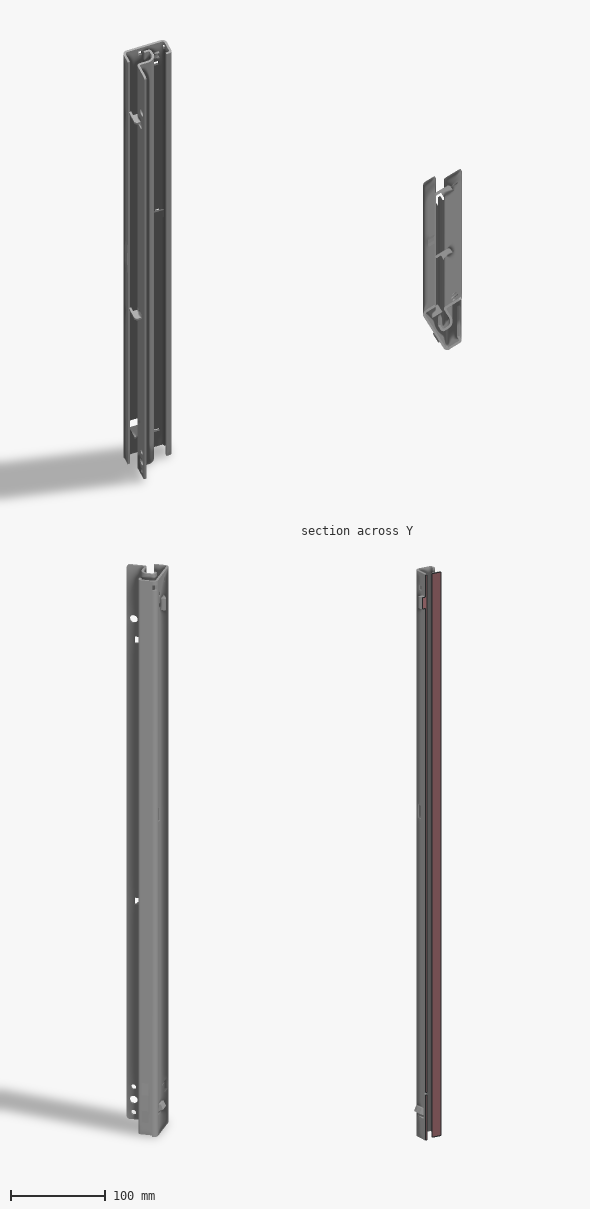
import cadquery as cq
import math

length = 630.0
z_top = length / 2
z_bottom = -length / 2
x_reach = 24.5
y_reach = 24.5
sheet = 2.5
through = 6.0

web_x = -19.5
lip_x = 1.0
lip_end_y = 17.5
floor_end_x = -3.0
bend_radius = 5.0
small_radius = 3.0
end_step = 2.0

wall_x = 5.0
wall_inner_x = wall_x - sheet
rail_top_y = 5.0
rail_radius = 9.5
rail_end_x = -12.0
rail_end_y = -3.0
flange_y_max = -14.5
flange_y_min = flange_y_max - sheet

ramp_height = 0.5
ramp_length = 45.0
ramp_crest = 17.5
ramp_x_min = -11.0
ramp_x_max = floor_end_x
floor_ramp_z = 8.0
roof_ramp_z = -277.0

web_inner_x = web_x + sheet
corner_notch_y = 21.0
small_hole_width = 4.0
small_hole_height = 5.5
small_hole_y = -4.7
small_hole_z = 307.5

clip_hole_y = 13.0
clip_hole_z = 297.5
clip_hole_width = 5.5
clip_hole_height = 9.0
clip_thickness = 2.0
clip_depth = 2.5

bridge_y_min = 9.0
bridge_y_max = 21.5
bridge_z = 48.0
bridge_window_height = 15.0
bridge_height = 11.5
bridge_inset = 2.0
bridge_leg = 4.0

upper_hook_z_min = 277.0
upper_hook_height = 13.0
upper_hook_y_min = -3.0
upper_hook_y_max = 9.0
upper_window_y_max = 16.5
upper_window_z_min = 281.0
upper_window_height = 5.5

lower_hook_y_min = 6.0
lower_hook_y_max = 17.5
lower_hook_z_max = -280.0
lower_hook_z_min = -288.0
lower_window_height = 4.0

stop_y_min = -16.5
stop_y_max = -7.0
stop_x_end = -4.5
stop_z_max = -275.0
stop_window_y_min = -17.5
stop_window_y_max = -5.5
stop_window_height = 13.0
relief_y_max = 4.5
relief_height = 2.0

flange_corner = 3.0
rail_z_min = z_bottom + end_step
hole_x = 17.0
large_hole_diameter = 9.0
small_hole_diameter = 5.5
upper_hole_z = 254.0
lower_hole_z = -291.0
hole_pitch = 14.5
window_x_max = 16.5
window_height = 7.5
tab_x_max = 14.5
tab_y_min = -23.0
tab_thickness = 2.5
foot_y_max = -21.0
upper_window_center = 230.5
lower_window_center = -65.5


def box(x_min, x_max, y_min, y_max, z_min, z_max):
    """Axis-aligned block between the given limits."""
    size = (x_max - x_min, y_max - y_min, z_max - z_min)
    return cq.Workplane("XY").box(*size, centered=False).translate((x_min, y_min, z_min))


def web_opening(y_min, y_max, z_min, z_max):
    """Cutter that passes through the web only."""
    return box(web_x - through, web_inner_x + sheet / 2, y_min, y_max, z_min, z_max)


def toward(start, end, distance):
    """Point at a distance from start on the line to end."""
    span = math.dist(start, end)
    return tuple(a + (b - a) * distance / span for a, b in zip(start, end))


def rounded_outline(corners):
    """Closed outline of square corners (x, y, radius), each rounded by its radius."""
    outline = None
    for i, (x, y, radius) in enumerate(corners):
        corner = (x, y)
        before = toward(corner, corners[i - 1][:2], radius)
        after = toward(corner, corners[(i + 1) % len(corners)][:2], radius)
        outline = outline.lineTo(*before) if outline else cq.Workplane("XY").moveTo(*before)
        if radius > 0:
            center = (before[0] + after[0] - x, before[1] + after[1] - y)
            outline = outline.threePointArc(toward(center, corner, radius), after)
    return outline.close()


def channel_section():
    """Bent strip of the channel: lip, roof, web and floor."""
    inner_bend = bend_radius - sheet
    inner_small = small_radius - sheet
    return rounded_outline([
        (lip_x, lip_end_y, 0),
        (lip_x, y_reach, small_radius),
        (web_x, y_reach, bend_radius),
        (web_x, -y_reach, bend_radius),
        (floor_end_x, -y_reach, 0),
        (floor_end_x, -y_reach + sheet, 0),
        (web_inner_x, -y_reach + sheet, inner_bend),
        (web_inner_x, y_reach - sheet, inner_bend),
        (lip_x - sheet, y_reach - sheet, inner_small),
        (lip_x - sheet, lip_end_y, 0),
    ])


def rail_section():
    """Bent strip of the rail: turned edge, crown, wall and flange."""
    inner_small = small_radius - sheet
    return rounded_outline([
        (x_reach, flange_y_min, 0),
        (x_reach, flange_y_max, 0),
        (wall_x, flange_y_max, inner_small),
        (wall_x, rail_top_y, rail_radius),
        (rail_end_x, rail_top_y, small_radius),
        (rail_end_x, rail_end_y, 0),
        (rail_end_x + sheet, rail_end_y, 0),
        (rail_end_x + sheet, rail_top_y - sheet, inner_small),
        (wall_inner_x, rail_top_y - sheet, rail_radius - sheet),
        (wall_inner_x, flange_y_min, small_radius),
    ])


def pressed_ramp(face_y, outward, center_z):
    """Low trapezoidal ramp standing on the floor or roof; outward is -1 or +1 along Y."""
    crest_y = face_y + outward * ramp_height
    profile = [
        (face_y, center_z - ramp_length / 2),
        (crest_y, center_z - ramp_crest / 2),
        (crest_y, center_z + ramp_crest / 2),
        (face_y, center_z + ramp_length / 2),
    ]
    ramp = cq.Workplane("YZ").polyline(profile).close().extrude(ramp_x_max - ramp_x_min)
    return ramp.translate((ramp_x_min, 0, 0))


def add_end_openings(channel):
    """Corner notch and small rectangular hole near the top end."""
    z_min = small_hole_z - small_hole_height / 2
    z_max = small_hole_z + small_hole_height / 2
    notch = box(web_x - through, web_x + bend_radius, corner_notch_y, y_reach + through, z_min, z_max)
    half_width = small_hole_width / 2
    hole = web_opening(small_hole_y - half_width, small_hole_y + half_width, z_min, z_max)
    return channel.cut(notch).cut(hole)


def add_clip_hole(channel):
    """Rectangular hole with two tabs turned inward from its upper and lower edges."""
    y_min = clip_hole_y - clip_hole_width / 2
    y_max = clip_hole_y + clip_hole_width / 2
    z_min = clip_hole_z - clip_hole_height / 2
    z_max = clip_hole_z + clip_hole_height / 2
    channel = channel.cut(web_opening(y_min, y_max, z_min, z_max))
    for tab_z in (z_min, z_max - clip_thickness):
        tab = box(web_x, web_inner_x + clip_depth, y_min, y_max, tab_z, tab_z + clip_thickness)
        channel = channel.union(tab)
    return channel


def add_bridge(channel):
    """Strap pressed inward across a window, open at its upper and lower ends."""
    half_window = bridge_window_height / 2
    half_bridge = bridge_height / 2
    y_low = bridge_y_min + bridge_leg
    y_high = bridge_y_max - bridge_leg
    window = web_opening(y_low, y_high, bridge_z - half_window, bridge_z + half_window)
    strap = box(web_x + bridge_inset, web_inner_x + bridge_inset, bridge_y_min, bridge_y_max,
                bridge_z - half_bridge, bridge_z + half_bridge)
    return channel.cut(window).union(strap)


def add_upper_hook(channel):
    """Outward hook near the top end with the window beside it."""
    window = web_opening(upper_hook_y_max, upper_window_y_max,
                         upper_window_z_min, upper_window_z_min + upper_window_height)
    nose_x = -x_reach
    profile = [
        (web_inner_x, upper_hook_y_min),
        (web_x, upper_hook_y_min),
        (nose_x, upper_hook_y_max - sheet),
        (nose_x, upper_hook_y_max),
        (web_inner_x, upper_hook_y_max),
    ]
    hook = cq.Workplane("XY").polyline(profile).close().extrude(upper_hook_height)
    return channel.cut(window).union(hook.translate((0, 0, upper_hook_z_min)))


def add_lower_hook(channel):
    """Outward hook near the bottom end, sloping down to its nose, with a window below."""
    window = web_opening(lower_hook_y_min, lower_hook_y_max,
                         lower_hook_z_min - lower_window_height, lower_hook_z_min)
    nose_x = -x_reach
    profile = [
        (web_inner_x, lower_hook_z_max),
        (nose_x + sheet, lower_hook_z_max),
        (nose_x, lower_hook_z_min + sheet),
        (web_x, lower_hook_z_min),
        (web_inner_x, lower_hook_z_min),
    ]
    width = lower_hook_y_max - lower_hook_y_min
    hook = cq.Workplane("XZ").polyline(profile).close().extrude(-width)
    return channel.cut(window).union(hook.translate((0, lower_hook_y_min, 0)))


def add_stop_tab(channel):
    """Tab bent inward from a window in the web, with a relief slit at the window's top."""
    window_top = stop_z_max + stop_window_height
    window = web_opening(stop_window_y_min, stop_window_y_max, stop_z_max, window_top)
    relief = web_opening(stop_window_y_max, relief_y_max, window_top - relief_height, window_top)
    tab = box(web_x, stop_x_end, stop_y_min, stop_y_max, stop_z_max - sheet, stop_z_max)
    return channel.cut(window).cut(relief).union(tab)


def make_channel():
    """Long bent channel with its pressed ramps, hooks and openings."""
    channel = channel_section().extrude(length).translate((0, 0, z_bottom))
    short_end = box(web_x + bend_radius, lip_x + through, -y_reach - through, y_reach + through,
                    z_bottom, z_bottom + end_step)
    channel = channel.cut(short_end)
    channel = channel.union(pressed_ramp(-y_reach, -1, floor_ramp_z))
    channel = channel.union(pressed_ramp(y_reach, 1, roof_ramp_z))
    channel = add_end_openings(channel)
    channel = add_clip_hole(channel)
    channel = add_bridge(channel)
    channel = add_upper_hook(channel)
    channel = add_lower_hook(channel)
    return add_stop_tab(channel)


def drill_flange(rail, diameter, heights):
    """Round holes through the flange along Y."""
    for height in heights:
        drill = cq.Workplane("XZ").circle(diameter / 2).extrude(through, both=True)
        rail = rail.cut(drill.translate((hole_x, flange_y_max, height)))
    return rail


def add_flange_window(rail, center_z, tab_side):
    """Window beside the wall; its top (+1) or bottom (-1) edge carries a tab that abuts the floor."""
    half = window_height / 2
    window = box(wall_x, window_x_max, flange_y_min, flange_y_max, center_z - half, center_z + half)
    profile = [
        (floor_end_x, tab_y_min),
        (tab_x_max, tab_y_min),
        (tab_x_max, flange_y_max),
        (wall_inner_x, flange_y_max),
        (wall_inner_x, foot_y_max),
        (floor_end_x, foot_y_max),
    ]
    tab = cq.Workplane("XY").polyline(profile).close().extrude(tab_thickness)
    tab = tab.edges("|Z and >X and <Y").fillet(small_radius)
    tab_center = center_z + tab_side * (half + tab_thickness / 2)
    return rail.cut(window).union(tab.translate((0, 0, tab_center - tab_thickness / 2)))


def make_rail():
    """Rolled rail with its mounting flange, holes and tabbed windows."""
    rail = rail_section().extrude(z_top - rail_z_min).translate((0, 0, rail_z_min))
    rail = rail.edges("|Y and >X").fillet(flange_corner)
    small_heights = [lower_hole_z - hole_pitch, lower_hole_z + hole_pitch]
    rail = drill_flange(rail, large_hole_diameter, [upper_hole_z, lower_hole_z])
    rail = drill_flange(rail, small_hole_diameter, small_heights)
    rail = add_flange_window(rail, upper_window_center, 1)
    return add_flange_window(rail, lower_window_center, -1)


channel = make_channel()
rail = make_rail()

result = cq.Compound.makeCompound([channel.val(), rail.val()])